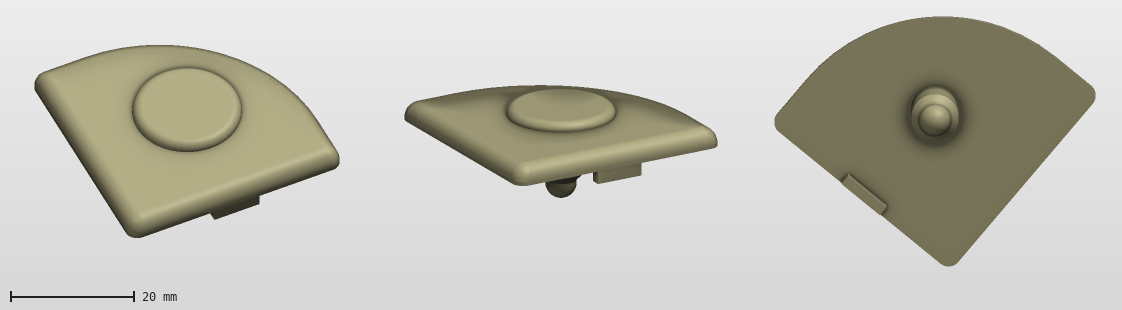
import cadquery as cq
import math

PLATE_SIDE = 38.1
PLATE_THICKNESS = 3.2
LARGE_CORNER_RADIUS = 28.58
SMALL_CORNER_RADIUS = 2.02
TOP_EDGE_RADIUS = 2.55

TAB_THICKNESS = 1.68
TAB_WIDTH = 8.08
TAB_DROP = 2.25
TAB_EDGE_GAP = 0.23

HEAD_RADIUS = 8.88
HEAD_HEIGHT = 1.5
STEM_RADIUS = 3.85
STEM_DROP = 6.6
CONE_HEIGHT = 1.4
NECK_HEIGHT = 0.57
TIP_RADIUS = 2.55

HALF_SIDE = PLATE_SIDE / 2


def make_tab():
    """Rectangular tab under the plate, centred along Y."""
    tab_center_x = HALF_SIDE - TAB_EDGE_GAP - TAB_THICKNESS / 2
    return (
        cq.Workplane("XY")
        .center(tab_center_x, 0)
        .rect(TAB_THICKNESS, TAB_WIDTH)
        .extrude(-TAB_DROP)
    )


def make_plate():
    """Plate with rounded edges, stem hole and tab."""
    arc_center_x = -HALF_SIDE + LARGE_CORNER_RADIUS
    arc_center_y = HALF_SIDE - LARGE_CORNER_RADIUS
    diagonal = LARGE_CORNER_RADIUS * math.sqrt(0.5)
    slab = (
        cq.Workplane("XY")
        .moveTo(-HALF_SIDE, -HALF_SIDE)
        .lineTo(HALF_SIDE, -HALF_SIDE)
        .lineTo(HALF_SIDE, HALF_SIDE)
        .lineTo(arc_center_x, HALF_SIDE)
        .threePointArc(
            (arc_center_x - diagonal, arc_center_y + diagonal),
            (-HALF_SIDE, arc_center_y),
        )
        .close()
        .extrude(PLATE_THICKNESS)
    )
    for corner in ("<X and <Y", ">X and <Y", ">X and >Y"):
        slab = slab.edges("|Z").edges(corner).fillet(SMALL_CORNER_RADIUS)
    slab = slab.faces(">Z").edges().fillet(TOP_EDGE_RADIUS)
    stem_hole = cq.Workplane("XY").circle(STEM_RADIUS).extrude(PLATE_THICKNESS)
    return slab.cut(stem_hole).union(make_tab())


def make_knob():
    """Knob revolved about the Z axis."""
    head_top_z = PLATE_THICKNESS + HEAD_HEIGHT
    neck_top_z = -STEM_DROP - CONE_HEIGHT
    tip_center_z = neck_top_z - NECK_HEIGHT
    rim_inner_radius = HEAD_RADIUS - HEAD_HEIGHT
    arc_reach = math.sqrt(0.5)
    return (
        cq.Workplane("XZ")
        .moveTo(0, head_top_z)
        .lineTo(rim_inner_radius, head_top_z)
        .threePointArc(
            (rim_inner_radius + HEAD_HEIGHT * arc_reach, PLATE_THICKNESS + HEAD_HEIGHT * arc_reach),
            (HEAD_RADIUS, PLATE_THICKNESS),
        )
        .lineTo(STEM_RADIUS, PLATE_THICKNESS)
        .lineTo(STEM_RADIUS, -STEM_DROP)
        .lineTo(TIP_RADIUS, neck_top_z)
        .lineTo(TIP_RADIUS, tip_center_z)
        .threePointArc(
            (TIP_RADIUS * arc_reach, tip_center_z - TIP_RADIUS * arc_reach),
            (0, tip_center_z - TIP_RADIUS),
        )
        .close()
        .revolve(360, (0, 0), (0, 1))
    )


plate = make_plate()
knob = make_knob()
result = cq.Compound.makeCompound([plate.val(), knob.val()])